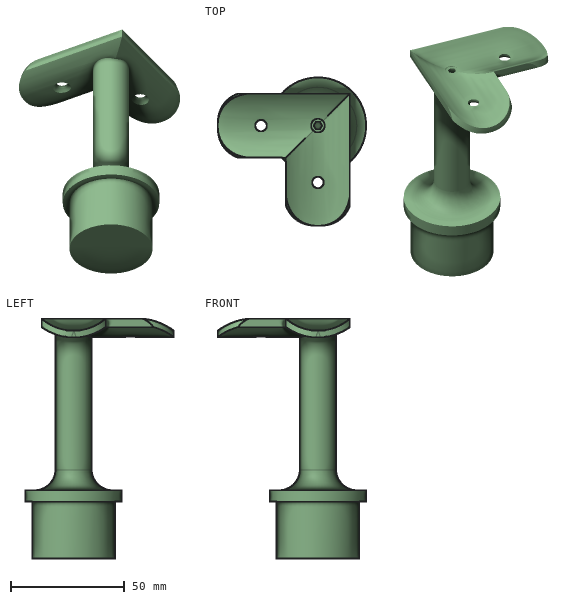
import cadquery as cq
import math

spigot_diameter = 36.4
spigot_height = 25.0
flange_diameter = 42.4
flange_thickness = 5.1
post_diameter = 16.0
flare_radius = 9.0
total_height = 105.3

arm_width = 28.1
arm_reach = 65.2 - flange_diameter / 2
saddle_inner_radius = 21.2
saddle_thickness = 3.0
arm_hole_diameter = 5.0
arm_hole_distance = 25.0
countersink_diameter = 8.0
countersink_depth = 1.8

screw_head_diameter = 6.0
screw_head_depth = 1.6
hex_across_corners = 3.7
hex_depth = 2.5

flange_top = spigot_height + flange_thickness
half_width = arm_width / 2
saddle_axis_z = total_height + math.sqrt(saddle_inner_radius**2 - half_width**2)
saddle_outer_radius = saddle_inner_radius + saddle_thickness
valley_z = saddle_axis_z - saddle_inner_radius
underside_z = valley_z - saddle_thickness
valley_depth = total_height - valley_z
rounding_radius = math.hypot(half_width, valley_depth)
rounding_tilt = math.degrees(math.atan2(valley_depth, half_width))


def make_base_and_post():
    post_radius = post_diameter / 2
    flare_top = flange_top + flare_radius
    post_top = valley_z - saddle_thickness / 2
    bulge = flare_radius * (1 - math.sqrt(0.5))
    return (
        cq.Workplane("XZ")
        .lineTo(spigot_diameter / 2, 0)
        .lineTo(spigot_diameter / 2, spigot_height)
        .lineTo(flange_diameter / 2, spigot_height)
        .lineTo(flange_diameter / 2, flange_top)
        .lineTo(post_radius + flare_radius, flange_top)
        .threePointArc((post_radius + bulge, flange_top + bulge), (post_radius, flare_top))
        .lineTo(post_radius, post_top)
        .lineTo(0, post_top)
        .close()
        .revolve(360, (0, 0, 0), (0, 1, 0))
    )


def make_end_cutter():
    """Waste outside the rounded corner on the +Y side of the arm end, square to the chord."""
    r = rounding_radius
    margin = r
    waste = (
        cq.Workplane("XY")
        .moveTo(-arm_reach, 0)
        .threePointArc(
            (-arm_reach + r * (1 - math.sqrt(0.5)), r * math.sqrt(0.5)),
            (-arm_reach + r, r),
        )
        .lineTo(-arm_reach + r, r + margin)
        .lineTo(-arm_reach - margin, r + margin)
        .lineTo(-arm_reach - margin, 0)
        .close()
        .extrude(arm_width, both=True)
    )
    return waste.rotate((0, 0, 0), (1, 0, 0), rounding_tilt).translate((0, 0, valley_z))


def make_arm_hole_cutter():
    """Through hole with a countersink opening on the underside of the arm."""
    underside = cq.Workplane("XY", origin=(-arm_hole_distance, 0, underside_z))
    hole = underside.circle(arm_hole_diameter / 2).extrude(2 * saddle_thickness)
    countersink = (
        underside.circle(countersink_diameter / 2)
        .workplane(offset=countersink_depth)
        .circle(arm_hole_diameter / 2)
        .loft(ruled=True)
    )
    return hole.union(countersink)


def make_arm():
    """Arm running toward -X, mitred on the vertical plane y = x."""
    length = arm_reach + half_width
    ring = (
        cq.Workplane("YZ", origin=(-arm_reach, 0, 0))
        .center(0, saddle_axis_z)
        .circle(saddle_outer_radius)
        .circle(saddle_inner_radius)
        .extrude(length)
    )
    mitred_strip = (
        cq.Workplane("XY", origin=(0, 0, underside_z))
        .polyline([
            (-arm_reach, -half_width),
            (-half_width, -half_width),
            (half_width, half_width),
            (-arm_reach, half_width),
        ])
        .close()
        .extrude(total_height - underside_z)
    )
    end_cutter = make_end_cutter()
    return (
        ring.intersect(mitred_strip)
        .cut(end_cutter)
        .cut(end_cutter.mirror("XZ"))
        .cut(make_arm_hole_cutter())
    )


def add_screw_head(body):
    """Flat round head level with the valley, with a hexagonal key socket."""
    head_bottom = cq.Workplane("XY", origin=(0, 0, valley_z - screw_head_depth))
    valley_plane = cq.Workplane("XY", origin=(0, 0, valley_z))
    head = head_bottom.circle(screw_head_diameter / 2).extrude(screw_head_depth)
    clearance = valley_plane.circle(screw_head_diameter / 2).extrude(valley_depth)
    socket = valley_plane.polygon(6, hex_across_corners).extrude(-hex_depth)
    return body.union(head).cut(clearance).cut(socket)


arm_x = make_arm()
arm_y = arm_x.mirror("YZ").rotate((0, 0, 0), (0, 0, 1), -90)

result = add_screw_head(make_base_and_post().union(arm_x).union(arm_y))